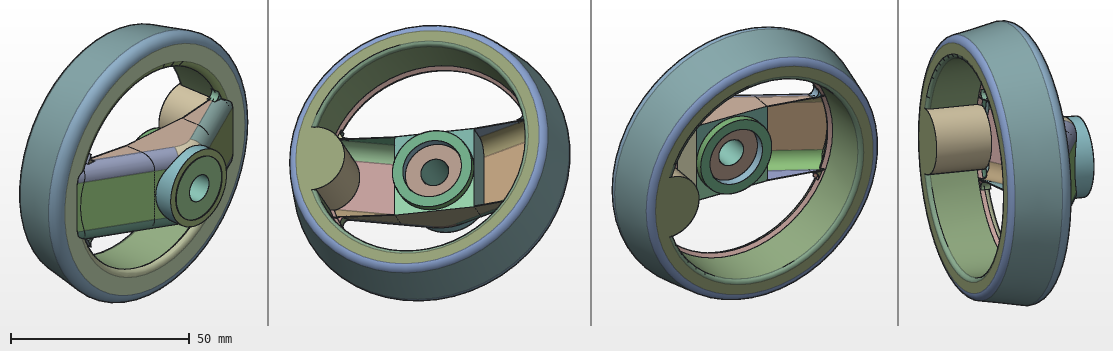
import cadquery as cq
import math

rim_outer_radius = 40.1
rim_width = 18.1
front_flat_radius = 35.25
front_round_x = 1.45
front_round_radius = 37.46
back_round_size = 3.0
taper_angle = math.radians(10.7)
bore_radius = 30.9
bore_round = 1.2
lip_radius = 30.0
lip_start_x = 15.2
lip_full_x = 16.3

bridge_half_width = 11.9
bridge_edge_radius = 4.3
bridge_foot_x = 17.9
bridge_foot_y = 32.6
slope = 0.53
ridge_radius = 11.2
bridge_tip_radius = 32.85
slab_thickness = 0.3
side_wall = 0.25
wall_edge_slope = 0.16
window_corner_radius = 1.8

hub_diameter = 23.0
hub_start_x = 15.7
hub_block_x = 18.0
hub_shoulder_x = 34.8
hub_end_x = 35.0
hub_face_diameter = 18.9
hub_bore_diameter = 8.0
counterbore_diameter = 17.0
counterbore_depth = 2.8

grip_diameter = 19.1
grip_y = 30.7
grip_end_x = 16.4

slope_angle = math.atan(slope)
reach = 1.2 * rim_outer_radius


def rod(diameter, start_x, end_x, y=0.0):
    """Cylinder parallel to X."""
    return cq.Workplane("YZ", origin=(start_x, y, 0)).circle(diameter / 2).extrude(end_x - start_x)


def revolve_about_x(profile):
    return profile.close().revolve(360, (0, 0, 0), (1, 0, 0))


def make_rim():
    """Tapered ring with rounded edges and a narrowest place near the back."""
    back_round_x = rim_width - back_round_size
    back_flat_radius = rim_outer_radius - back_round_size
    back_diagonal = back_round_size * math.sqrt(0.5)
    disc = revolve_about_x(
        cq.Workplane("XY")
        .lineTo(0, front_flat_radius)
        .tangentArcPoint((front_round_x, front_round_radius), relative=False)
        .lineTo(
            back_round_x - back_round_size * math.sin(taper_angle),
            back_flat_radius + back_round_size * math.cos(taper_angle),
        )
        .threePointArc(
            (back_round_x + back_diagonal, back_flat_radius + back_diagonal),
            (rim_width, back_flat_radius),
        )
        .lineTo(rim_width, 0)
    )
    lip_round = rim_width - lip_full_x
    lip_diagonal = lip_round * (1 - math.sqrt(0.5))
    bore_diagonal = bore_round * (1 - math.sqrt(0.5))
    bore = revolve_about_x(
        cq.Workplane("XY")
        .lineTo(0, bore_radius + bore_round)
        .threePointArc((bore_diagonal, bore_radius + bore_diagonal), (bore_round, bore_radius))
        .lineTo(lip_start_x, bore_radius)
        .lineTo(lip_full_x, lip_radius)
        .threePointArc(
            (lip_full_x + lip_round * math.sqrt(0.5), lip_radius + lip_diagonal),
            (rim_width, lip_radius + lip_round),
        )
        .lineTo(rim_width, 0)
    )
    return disc.cut(bore)


def gable(inset, half_width, edge_radius):
    """Body under both slopes and their ridge, moved inward by inset, long edges rounded."""
    sharp_ridge_x = bridge_foot_x + bridge_foot_y * slope
    ridge_center_x = sharp_ridge_x - ridge_radius / math.cos(slope_angle)
    inset_radius = ridge_radius - inset
    tangent_x = ridge_center_x + inset_radius * math.cos(slope_angle)
    tangent_y = inset_radius * math.sin(slope_angle)
    end_x = tangent_x - slope * (reach - tangent_y)
    base_x = -rim_width
    body = (
        cq.Workplane("XY", origin=(0, 0, -half_width))
        .moveTo(base_x, -reach)
        .lineTo(end_x, -reach)
        .lineTo(tangent_x, -tangent_y)
        .threePointArc((ridge_center_x + inset_radius, 0), (tangent_x, tangent_y))
        .lineTo(end_x, reach)
        .lineTo(base_x, reach)
        .close()
        .extrude(2 * half_width)
    )
    roof_edges = cq.selectors.BoxSelector(
        (base_x + 0.8, 0.8 - reach, -reach), (reach, reach - 0.8, reach)
    )
    return body.edges("not |Z").edges(roof_edges).fillet(edge_radius)


def make_bridge(outer_gable):
    """Outer gable hollowed by two troughs, cut off along the free edges of its side walls."""
    trough = gable(slab_thickness, bridge_half_width - side_wall, bridge_edge_radius - side_wall)
    hub_block = cq.Workplane("XY").box(4 * reach, hub_diameter, 2 * reach)
    hollow = trough.cut(hub_block).intersect(rod(2 * bore_radius, -rim_width, reach))
    wall_edge_end_x = hub_block_x - wall_edge_slope * (reach - hub_diameter / 2)
    behind_wall_edges = (
        cq.Workplane("XY", origin=(0, 0, -reach))
        .moveTo(hub_block_x, -hub_diameter / 2)
        .lineTo(hub_block_x, hub_diameter / 2)
        .lineTo(wall_edge_end_x, reach)
        .lineTo(reach, reach)
        .lineTo(reach, -reach)
        .lineTo(wall_edge_end_x, -reach)
        .close()
        .extrude(2 * reach)
    )
    tip_limit = rod(2 * bridge_tip_radius, 0, reach)
    return outer_gable.cut(hollow).intersect(behind_wall_edges).intersect(tip_limit)


def make_window_corners():
    """Rounded fillings between the mouth of the rim and the long sides of the bridge."""
    strip = cq.Workplane("XY").box(4 * reach, 2 * reach, 2 * bridge_half_width)
    windows = rod(2 * lip_radius, 0, rim_width).cut(strip).edges("|X").fillet(window_corner_radius)
    band = rod(2 * lip_radius, lip_start_x, rim_width).cut(strip)
    return band.cut(windows)


def make_grip(outer_gable):
    """Stub parallel to the axis, from the front face of the rim, trimmed by the bridge slope."""
    within_rim = rod(2 * front_flat_radius, 0, rim_width)
    return rod(grip_diameter, 0, grip_end_x, grip_y).intersect(outer_gable).intersect(within_rim)


outer_gable = gable(0, bridge_half_width, bridge_edge_radius)
hub = rod(hub_diameter, hub_start_x, hub_shoulder_x).union(
    rod(hub_face_diameter, hub_shoulder_x, hub_end_x)
)
result = (
    make_rim()
    .union(make_bridge(outer_gable))
    .union(make_window_corners())
    .union(make_grip(outer_gable))
    .union(hub)
    .cut(rod(hub_bore_diameter, 0, hub_end_x))
    .cut(rod(counterbore_diameter, 0, hub_start_x + counterbore_depth))
)